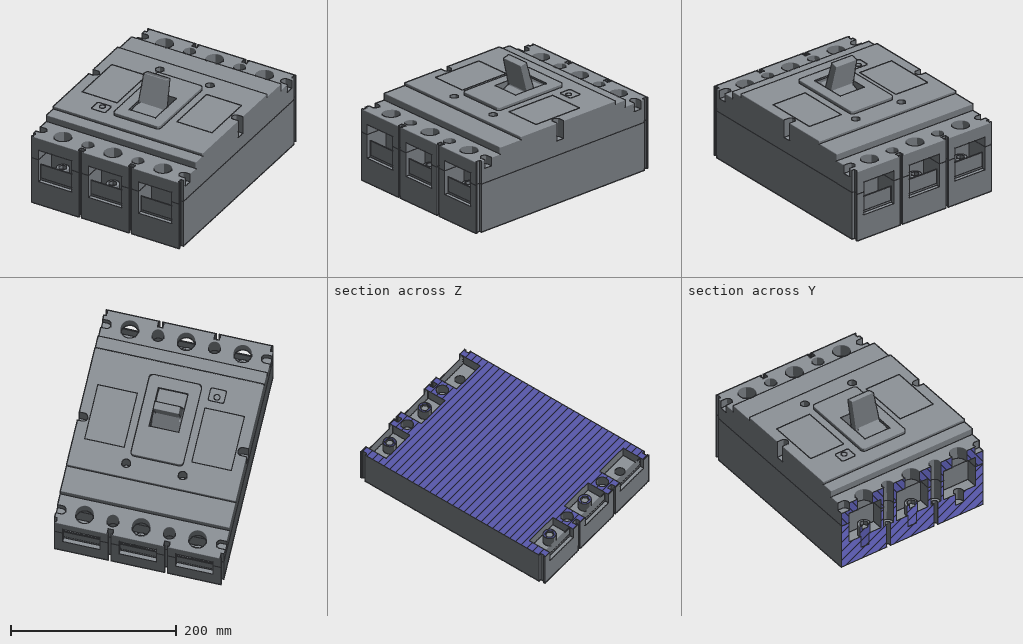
import cadquery as cq
import math

length = 280.0
width = 210.0
split_height = 64.0
shelf_height = 94.5
step_height = 103.5
deck_height = 107.2
edge_radius = 1.0
hole_rim_radius = 0.8

front_shelf_end = -102.2
front_step_end = -86.0
rear_step_end = 68.5
rear_shelf_end = 102.2

pole_pitch = 70.0
pole_positions = [-pole_pitch, 0, pole_pitch]
screwed_poles = pole_positions[:2]
terminal_offset = 121.5
end_signs = [-1, 1]

groove_positions = [-1.5 * pole_pitch, -pole_pitch / 2, pole_pitch / 2, 1.5 * pole_pitch]
groove_slit_width = 3.5
groove_width = 6.7
groove_depth = 7.5
groove_lip = 2.0

window_width = 46.2
window_bottom = 32.8
sill_top = 54.5
sill_thickness = 1.0
terminal_seat = 34.7
window_top = 77.5
window_recess = 5.0
chamber_depth = 31.0
access_radius = 11.0
thread_radius = 6.2
thread_depth = 16.8

screw_head_radius = 8.0
screw_head_height = 15.7
screw_head_rounding = 0.8
socket_across_corners = 10.5
socket_depth = 5.5

mount_positions = [-pole_pitch / 2, pole_pitch / 2]
mount_hole_radius = 3.5
mount_bore_radius = 7.3

side_slot_positions = [-terminal_offset, 4.5, terminal_offset]
side_slot_width = 10.5
side_slot_depth = 11.8
side_slot_floor = 83.5

indicator_hole_y = 50.5
indicator_hole_radius = 5.3
indicator_hole_depth = 22.5

label_width = 49.0
label_length = 70.8
label_x = 66.5
label_y = -4.5
marking_depth = 0.3

button_x = -53.0
button_y = -56.3
button_radius = 3.5
button_length = 14.0
panel_width = 19.5
panel_length = 16.5
panel_y = -58.5
panel_corner = 2.2

plate_top = 111.5
plate_width = 65.0
plate_front = -66.5
plate_rear = 39.5
plate_corner = 4.8

opening_width = 37.0
opening_front = -51.2
opening_rear = -0.8

handle_top = 147.8
lean_angle = 15.0
stick_base_y = -25.8
stick_top_width = 32.0
stick_base_width = 34.5
stick_top_thickness = 9.8
stick_rounding = 0.8
stick_root_depth = 8.5
stick_root_rounding = 2.0
stick_base_thickness = 11.2
drum_radius = 44.8
drum_width = 35.8
drum_rounding = 3.0


def block(x_size, y_range, z_range):
    """A block centred on X between two Y and two Z positions."""
    y_start, y_end = y_range
    z_start, z_end = z_range
    solid = cq.Workplane().box(x_size, y_end - y_start, z_end - z_start, centered=(True, False, False))
    return solid.translate((0, y_start, z_start))


def upright_cylinder(x, y, radius, bottom, top):
    return cq.Workplane(origin=(x, y, bottom)).circle(radius).extrude(top - bottom)


def end_grooves():
    """T-shaped grooves running the full height of both ends."""
    cutters = cq.Workplane()
    for x in groove_positions:
        for end in end_signs:
            slit = cq.Workplane().box(groove_slit_width, 2 * groove_depth, deck_height, centered=(True, True, False))
            inner_depth = groove_depth - groove_lip
            channel_y = end * (length / 2 - groove_lip - inner_depth / 2)
            channel = cq.Workplane().box(groove_width, inner_depth, deck_height, centered=(True, True, False))
            cutters = cutters.add(slit.translate((x, end * length / 2, 0)))
            cutters = cutters.add(channel.translate((x, channel_y, 0)))
    return cutters.combine()


def terminal_chambers():
    """Open chambers with a shallow recess below them, one per pole at each end."""
    end_face = -length / 2
    recess_back = end_face + window_recess
    chamber_back = end_face + chamber_depth
    opening = block(window_width, (end_face, chamber_back), (sill_top, window_top))
    recess = block(window_width, (end_face, recess_back), (window_bottom, sill_top))
    well = block(window_width, (recess_back + sill_thickness, chamber_back), (terminal_seat, sill_top))
    window = opening.union(recess).union(well)
    cutters = cq.Workplane()
    for x in pole_positions:
        cutters = cutters.add(window.translate((x, 0, 0)))
        cutters = cutters.add(window.mirror("XZ").translate((x, 0, 0)))
    return cutters.combine()


def mounting_bores():
    """Through holes with a wide counterbore from the shelf down to the terminal seat level."""
    cutters = cq.Workplane()
    for x in mount_positions:
        for end in end_signs:
            y = end * terminal_offset
            cutters = cutters.add(upright_cylinder(x, y, mount_hole_radius, 0, deck_height))
            cutters = cutters.add(upright_cylinder(x, y, mount_bore_radius, terminal_seat, deck_height))
    return cutters.combine()


def make_base():
    base = block(width, (-length / 2, length / 2), (0, split_height))
    base = base.cut(end_grooves()).cut(terminal_chambers()).cut(mounting_bores())
    for x in pole_positions:
        for end in end_signs:
            thread = upright_cylinder(
                x, end * terminal_offset, thread_radius, terminal_seat - thread_depth, terminal_seat
            )
            base = base.cut(thread)
    return base


def cover_tier(y_range, top):
    """A full-width block standing on the base."""
    return block(width, y_range, (split_height, top))


def round_top(tier):
    return tier.faces(">Z").edges().fillet(edge_radius)


def cover_shell():
    """Shelves, step and deck as nested tiers; the riser corners of the upper two are rounded too."""
    shell = round_top(cover_tier((-length / 2, length / 2), shelf_height))
    step = cover_tier((front_shelf_end, rear_shelf_end), step_height)
    deck = cover_tier((front_step_end, rear_step_end), deck_height)
    for tier in [step, deck]:
        shell = shell.union(round_top(tier.edges("|Z").fillet(edge_radius)))
    return shell


def handle_plate():
    plate_length = plate_rear - plate_front
    plate = cq.Workplane(origin=(0, (plate_rear + plate_front) / 2, deck_height))
    plate = plate.rect(plate_width, plate_length).extrude(plate_top - deck_height)
    return plate.edges("|Z").fillet(plate_corner).faces(">Z").edges().fillet(edge_radius)


def side_slots():
    cutters = cq.Workplane()
    for y in side_slot_positions:
        for side in [-1, 1]:
            slot = cq.Workplane(origin=(side * width / 2, y, side_slot_floor))
            slot = slot.slot2D(2 * side_slot_depth, side_slot_width).extrude(deck_height)
            cutters = cutters.add(slot)
    return cutters.combine()


def round_hole_rims(cover):
    """Round the shelf rims of the terminal access holes and the mounting bores."""
    shelf_slice = cq.selectors.BoxSelector(
        (-width, -length, shelf_height - hole_rim_radius),
        (width, length, shelf_height + hole_rim_radius),
        boundingbox=True,
    )
    circles = cover.edges(shelf_slice).edges("%CIRCLE").vals()
    smallest_rim = min(access_radius, mount_bore_radius)
    rims = [edge for edge in circles if edge.radius() >= smallest_rim - hole_rim_radius]
    return cover.newObject(rims).fillet(hole_rim_radius)


def deck_markings():
    """Shallow recesses for the two labels and the trip button panel."""
    floor = deck_height - marking_depth
    cutters = cq.Workplane()
    for x in [-label_x, label_x]:
        label = cq.Workplane(origin=(x, label_y, floor)).rect(label_width, label_length)
        cutters = cutters.add(label.extrude(marking_depth))
    panel = cq.Workplane(origin=(button_x, panel_y, floor)).rect(panel_width, panel_length)
    panel = panel.extrude(marking_depth).edges("|Z").fillet(panel_corner)
    return cutters.add(panel).combine()


def make_cover():
    cover = cover_shell().union(handle_plate())
    for x in pole_positions:
        for end in end_signs:
            access = upright_cylinder(x, end * terminal_offset, access_radius, split_height, deck_height)
            cover = cover.cut(access)
    cover = round_hole_rims(cover.cut(mounting_bores()))
    cover = cover.cut(end_grooves()).cut(terminal_chambers()).cut(side_slots())

    indicator_floor = deck_height - indicator_hole_depth
    for x in mount_positions:
        indicator = upright_cylinder(x, indicator_hole_y, indicator_hole_radius, indicator_floor, deck_height)
        cover = cover.cut(indicator)

    cover = cover.cut(deck_markings()).cut(make_button())
    return cover.cut(block(opening_width, (opening_front, opening_rear), (split_height, plate_top)))


def make_drum(pivot_y, pivot_z):
    """Round-topped block that fills the handle opening down to the base."""

    def drum_height(y):
        return pivot_z + math.sqrt(drum_radius**2 - (y - pivot_y) ** 2)

    drum = (
        cq.Workplane("YZ")
        .moveTo(opening_front, split_height)
        .lineTo(opening_front, drum_height(opening_front))
        .threePointArc((pivot_y, pivot_z + drum_radius), (opening_rear, drum_height(opening_rear)))
        .lineTo(opening_rear, split_height)
        .close()
        .extrude(drum_width / 2, both=True)
    )
    return drum.edges("%CIRCLE").fillet(drum_rounding)


def make_stick(lean):
    """Tapered stick, lofted upright on the plate level and then leaned towards the rear."""
    top_corner_rise = stick_top_thickness / 2 * math.sin(lean)
    stick_length = (handle_top - plate_top - top_corner_rise) / math.cos(lean)
    root_share = stick_root_depth / stick_length
    root_width = stick_base_width + root_share * (stick_base_width - stick_top_width)
    root_thickness = stick_base_thickness + root_share * (stick_base_thickness - stick_top_thickness)
    stick = (
        cq.Workplane(origin=(0, stick_base_y, plate_top - stick_root_depth))
        .rect(root_width, root_thickness)
        .workplane(offset=stick_root_depth + stick_length)
        .rect(stick_top_width, stick_top_thickness)
        .loft()
    )
    stick = stick.faces("not <Z").edges("not <Z").fillet(stick_rounding)
    hinge = (0, stick_base_y, plate_top)
    return stick.rotate(hinge, (1, stick_base_y, plate_top), -lean_angle)


def make_handle():
    """Drum and stick, with rounded corners where the stick meets the drum."""
    lean = math.radians(lean_angle)
    pivot_y = stick_base_y - drum_radius * math.tan(lean)
    pivot_z = plate_top - drum_radius
    handle = make_drum(pivot_y, pivot_z).union(make_stick(lean))
    root_box = cq.selectors.BoxSelector(
        (-stick_root_depth, stick_base_y - stick_root_depth, plate_top - stick_root_depth / 2),
        (stick_root_depth, stick_base_y + stick_root_depth, plate_top + stick_root_depth / 2),
    )
    return handle.edges(root_box).fillet(stick_root_rounding)


def make_screw(x, y):
    """Socket head screw standing on the terminal seat."""
    screw = upright_cylinder(x, y, thread_radius, terminal_seat - thread_depth, terminal_seat)
    head_top = terminal_seat + screw_head_height
    screw = screw.union(upright_cylinder(x, y, screw_head_radius, terminal_seat, head_top))
    screw = screw.faces(">Z").edges().fillet(screw_head_rounding)
    socket = cq.Workplane(origin=(x, y, head_top - socket_depth)).polygon(6, socket_across_corners)
    return screw.cut(socket.extrude(socket_depth))


def make_button():
    return upright_cylinder(button_x, button_y, button_radius, deck_height - button_length, deck_height)


base = make_base()
cover = make_cover()
handle = make_handle()
screws = [make_screw(x, end * terminal_offset) for x in screwed_poles for end in end_signs]
button = make_button()

result = cq.Compound.makeCompound(
    [base.val(), cover.val(), handle.val(), button.val(), *[screw.val() for screw in screws]]
)